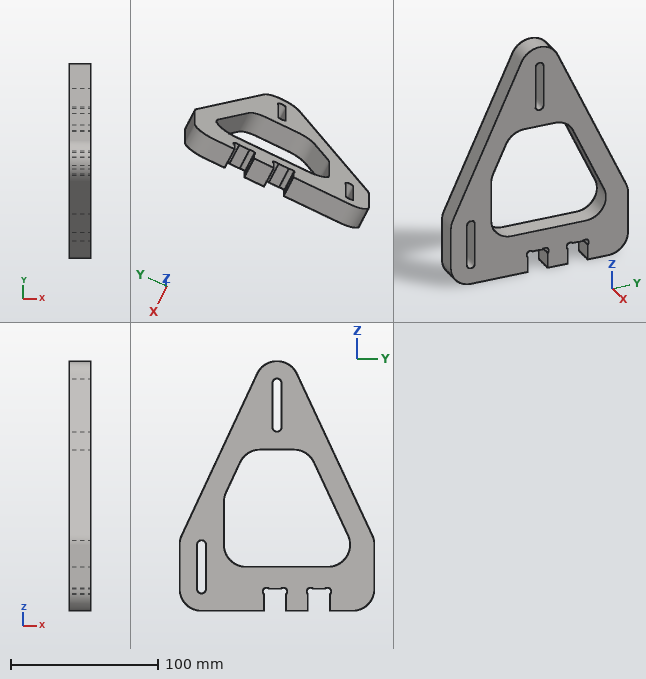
import cadquery as cq
import math

thickness = 15.0
width = 132.3
height = 169.6
corner_radius = 15.0

corner_y = width / 2 - corner_radius
apex_z = height - corner_radius
foot_z = corner_radius
shoulder_z = 45.0

window_left_y = 34.6
window_right_y = -21.0
window_bottom_z = shoulder_z
window_top_z = 94.5
flank_slope = corner_y / (apex_z - shoulder_z)
window_top_y = window_left_y - flank_slope * (window_top_z - window_bottom_z)
window_right_z = window_top_z - (-window_top_y - window_right_y) / flank_slope

slot_width = 6.0
slot_travel = 30.0

notch_width = 15.0
notch_depth = 15.0
notch_centres = (28.5, -1.4)
relief_radius = 2.5
relief_inset = relief_radius / math.sqrt(2)


def rounded_prism(centres):
    """Prism whose outline wraps around equal circles at the given (y, z) centres."""
    outline = cq.Workplane("YZ").polyline(centres).close()
    return outline.offset2D(corner_radius, "arc").extrude(thickness)


def vertical_slot(y, top_centre_z):
    middle_z = top_centre_z - slot_travel / 2
    slot = cq.Workplane("YZ").center(y, middle_z)
    return slot.slot2D(slot_travel + slot_width, slot_width, 90).extrude(thickness)


def relieved_notch(y):
    notch = cq.Workplane("YZ").center(y, notch_depth / 2).rect(notch_width, notch_depth).extrude(thickness)
    relief_y = notch_width / 2 - relief_inset
    relief_z = notch_depth - relief_inset
    relief_centres = [(y - relief_y, relief_z), (y + relief_y, relief_z)]
    reliefs = cq.Workplane("YZ").pushPoints(relief_centres).circle(relief_radius).extrude(thickness)
    return notch.union(reliefs)


plate = rounded_prism([
    (-corner_y, foot_z),
    (-corner_y, shoulder_z),
    (0, apex_z),
    (corner_y, shoulder_z),
    (corner_y, foot_z),
])
window = rounded_prism([
    (window_right_y, window_bottom_z),
    (window_right_y, window_right_z),
    (-window_top_y, window_top_z),
    (window_top_y, window_top_z),
    (window_left_y, window_bottom_z),
])

result = plate.cut(window)
result = result.cut(vertical_slot(0, apex_z))
result = result.cut(vertical_slot(-corner_y, shoulder_z))
for notch_y in notch_centres:
    result = result.cut(relieved_notch(notch_y))